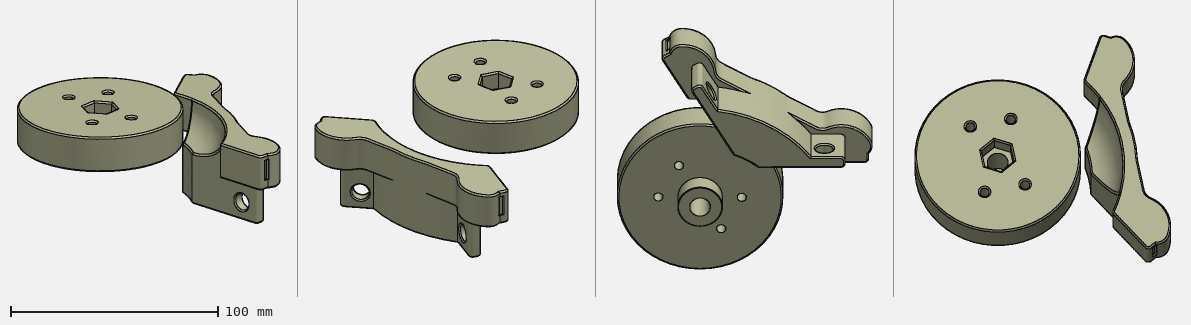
import cadquery as cq
import math

CHAMFER = 0.8

WHEEL_RADIUS = 40.0
WHEEL_TOP = 53.0
WHEEL_THICKNESS = 18.0
BOSS_RADIUS = 10.8
BOSS_LENGTH = 10.0
BOSS_CHAMFER = 0.3
BORE_DIAMETER = 10.0
HEX_ACROSS_FLATS = 14.4
HEX_DEPTH = 9.0
SCREW_HOLE_DIAMETER = 4.4
SCREW_SPACING_X = 35.0
SCREW_SPACING_Y = 19.9

SIDE_ANGLE = math.radians(30)
BRACKET_TOP = 41.0
CORNER_RADIUS = 2.1

FRONT_OFFSET = 35.0
FRONT_HOLLOW_RADIUS = 45.0
BASE_BACK_RADIUS = 67.6
FLANGE_THICKNESS = 6.0
FLANGE_REACH = 70.0
MOUNT_HOLE_DIAMETER = 8.5
MOUNT_HOLE_CHAMFER = 0.7
MOUNT_HOLE_REACH = 60.0
MOUNT_HOLE_HEIGHT = 9.0

ARM_BOTTOM = 23.2
ARM_FRONT_OFFSET = 25.0
ARM_REACH = 81.4
ARM_BACK = 66.8
LOBE_X = 44.2
LOBE_RADIUS = 16.0
LOBE_BLEND_RADIUS = 6.0
LOBE_SIDE = 55.6
OVERALL_DEPTH = 115.9
LOBE_Y = OVERALL_DEPTH - WHEEL_RADIUS - LOBE_RADIUS

CLEARANCE_RADIUS = 60.5
BOWL_RADIUS = CLEARANCE_RADIUS - FRONT_HOLLOW_RADIUS
BOWL_CENTER_HEIGHT = BRACKET_TOP + CHAMFER

RECESS_DEPTH = 0.8
RECESS_BACK = 67.2
RECESS_FRONT = 64.9
RECESS_BOTTOM = 27.9
RECESS_TOP = 38.2


def left_point(reach, offset):
    """Plan point on the left side of the bracket."""
    x = -reach * math.cos(SIDE_ANGLE) + offset * math.sin(SIDE_ANGLE)
    y = reach * math.sin(SIDE_ANGLE) + offset * math.cos(SIDE_ANGLE)
    return (x, y)


def clearance_point(offset):
    """Where the clearance circle crosses a line of the left side."""
    return left_point(math.sqrt(CLEARANCE_RADIUS**2 - offset**2), offset)


KNEE = clearance_point(ARM_FRONT_OFFSET)
ROOT = clearance_point(FRONT_OFFSET)
ARM_TIP = left_point(ARM_REACH, ARM_FRONT_OFFSET)


def polar(center, radius, toward):
    """Point at a radius from a center, in the direction of another point."""
    length = math.dist(center, toward)
    return tuple(c + radius * (t - c) / length for c, t in zip(center, toward))


def arc_middle(center, start, end):
    """Middle of the short arc about a center."""
    chord_middle = ((start[0] + end[0]) / 2, (start[1] + end[1]) / 2)
    return polar(center, math.dist(center, start), chord_middle)


def both_sides(left_half):
    return left_half.union(left_half.mirror("YZ"))


def round_upright_edge(body, point, height):
    """Round the upright edge that passes nearest to a plan point at a height."""
    return body.edges("|Z").edges(cq.NearestToPointSelector((*point, height))).fillet(CORNER_RADIUS)


def chamfer_cutter(outline):
    """45 degree taper going down from an outline, as deep as the edge break."""
    return outline.extrude(-CHAMFER, taper=45)


def make_wheel():
    disc_bottom = WHEEL_TOP - WHEEL_THICKNESS
    disc_base = cq.Workplane("XY", origin=(0, 0, disc_bottom))
    disc = disc_base.circle(WHEEL_RADIUS).extrude(WHEEL_THICKNESS).faces("<Z or >Z").chamfer(CHAMFER)
    boss = disc_base.circle(BOSS_RADIUS).extrude(-BOSS_LENGTH).faces("<Z").chamfer(BOSS_CHAMFER)
    wheel = disc.union(boss)

    top = cq.Workplane("XY", origin=(0, 0, WHEEL_TOP))
    socket = top.transformed(rotate=(0, 0, 30))
    wheel = wheel.cut(top.circle(BORE_DIAMETER / 2).extrude(-WHEEL_THICKNESS - BOSS_LENGTH))
    wheel = wheel.cut(socket.polygon(6, HEX_ACROSS_FLATS, circumscribed=True).extrude(-HEX_DEPTH))
    socket_rim = socket.polygon(6, HEX_ACROSS_FLATS + 2 * CHAMFER, circumscribed=True)
    wheel = wheel.cut(chamfer_cutter(socket_rim))

    screws = top.rarray(SCREW_SPACING_X, SCREW_SPACING_Y, 2, 2)
    wheel = wheel.cut(screws.circle(SCREW_HOLE_DIAMETER / 2).extrude(-WHEEL_THICKNESS))
    return wheel.cut(chamfer_cutter(screws.circle(SCREW_HOLE_DIAMETER / 2 + CHAMFER)))


def make_flange():
    back_offset = FRONT_OFFSET + FLANGE_THICKNESS
    front_end = left_point(FLANGE_REACH, FRONT_OFFSET)
    back_end = left_point(FLANGE_REACH, back_offset)
    flange = (
        cq.Workplane("XY")
        .polyline([left_point(0, FRONT_OFFSET), front_end, back_end, left_point(0, back_offset)])
        .close()
        .extrude(BRACKET_TOP)
    )
    for corner in (front_end, back_end):
        flange = round_upright_edge(flange, corner, BRACKET_TOP / 2)
    return flange


def make_block():
    """Middle of the base: two slanted fronts closed by a round back."""
    back_reach = math.sqrt(BASE_BACK_RADIUS**2 - FRONT_OFFSET**2)
    left_x, left_y = left_point(back_reach, FRONT_OFFSET)
    block = (
        cq.Workplane("XY")
        .moveTo(0, FRONT_OFFSET / math.cos(SIDE_ANGLE))
        .lineTo(left_x, left_y)
        .threePointArc((0, BASE_BACK_RADIUS), (-left_x, left_y))
        .close()
        .extrude(BRACKET_TOP)
    )
    return block.edges(">Z and >Y").chamfer(CHAMFER)


def bowl_cutter():
    """Quarter-round ring about the Z axis, solid inside."""
    bowl_bottom = BOWL_CENTER_HEIGHT - BOWL_RADIUS
    return (
        cq.Workplane("YZ")
        .moveTo(FRONT_HOLLOW_RADIUS, bowl_bottom)
        .radiusArc((CLEARANCE_RADIUS, BOWL_CENTER_HEIGHT), -BOWL_RADIUS)
        .lineTo(0, BOWL_CENTER_HEIGHT)
        .lineTo(0, bowl_bottom)
        .close()
        .revolve(360, (0, 0, 0), (0, 1, 0))
    )


def make_base():
    hollow = cq.Workplane("XY").circle(FRONT_HOLLOW_RADIUS).extrude(BRACKET_TOP)
    base = make_block().union(both_sides(make_flange())).cut(hollow).cut(bowl_cutter())
    base = base.faces("%TORUS").edges("not >Z").chamfer(CHAMFER)
    return base.faces("<Z").chamfer(CHAMFER)


def arm_outline():
    """Plan of the left arm, closed along the YZ plane inside the base."""
    lobe_center = (-LOBE_X, LOBE_Y)

    inner_y = ARM_BACK + LOBE_BLEND_RADIUS
    inner_span = math.sqrt((LOBE_RADIUS + LOBE_BLEND_RADIUS) ** 2 - (inner_y - LOBE_Y) ** 2)
    inner_center = (inner_span - LOBE_X, inner_y)
    inner_start = (inner_center[0], ARM_BACK)
    inner_end = polar(lobe_center, LOBE_RADIUS, inner_center)

    outer_x = LOBE_BLEND_RADIUS - LOBE_SIDE
    outer_rise = math.sqrt((LOBE_RADIUS - LOBE_BLEND_RADIUS) ** 2 - (outer_x + LOBE_X) ** 2)
    outer_center = (outer_x, LOBE_Y + outer_rise)
    outer_start = polar(lobe_center, LOBE_RADIUS, outer_center)
    center_reach = -outer_center[0] * math.cos(SIDE_ANGLE) + outer_center[1] * math.sin(SIDE_ANGLE)
    center_offset = outer_center[0] * math.sin(SIDE_ANGLE) + outer_center[1] * math.cos(SIDE_ANGLE)
    half_chord = math.sqrt(LOBE_BLEND_RADIUS**2 - (ARM_REACH - center_reach) ** 2)
    outer_end = left_point(ARM_REACH, center_offset - half_chord)

    joint_radius = (CLEARANCE_RADIUS + ARM_BACK) / 2
    joint_start = polar((0, 0), joint_radius, ROOT)
    joint_end = (0, joint_radius)
    return (
        cq.Workplane("XY", origin=(0, 0, ARM_BOTTOM))
        .moveTo(0, ARM_BACK)
        .lineTo(*inner_start)
        .threePointArc(arc_middle(inner_center, inner_start, inner_end), inner_end)
        .threePointArc((-LOBE_X, LOBE_Y + LOBE_RADIUS), outer_start)
        .threePointArc(arc_middle(outer_center, outer_start, outer_end), outer_end)
        .lineTo(*ARM_TIP)
        .lineTo(*KNEE)
        .threePointArc(arc_middle((0, 0), KNEE, ROOT), ROOT)
        .lineTo(*joint_start)
        .threePointArc(arc_middle((0, 0), joint_start, joint_end), joint_end)
        .close()
    )


def arm_recess(arm):
    """Pocket in the arm end, its floor parallel to the end surface."""
    shift = (RECESS_DEPTH * math.cos(SIDE_ANGLE), -RECESS_DEPTH * math.sin(SIDE_ANGLE), 0)
    width = RECESS_BACK - RECESS_FRONT
    middle = (ARM_TIP[0], (RECESS_BACK + RECESS_FRONT) / 2, RECESS_BOTTOM)
    window = cq.Workplane("XY", origin=middle).rect(LOBE_RADIUS, width).extrude(RECESS_TOP - RECESS_BOTTOM)
    return window.cut(arm.translate(shift))


def break_outer_edges(arm, face):
    """Chamfer the outside of one arm face; the inner face and the joint stay plain."""
    outer_edges = [edge for edge in arm.faces(face).edges().vals() if is_outer(edge)]
    return arm.newObject(outer_edges).chamfer(CHAMFER)


def is_outer(edge):
    """Whether an edge of the arm plan is on the back or lies outward of the knee."""
    middle = edge.positionAt(0.5)
    on_back = middle.y > ARM_BACK - CHAMFER
    return on_back or middle.x < KNEE[0]


def make_arm():
    middle_height = (BRACKET_TOP + ARM_BOTTOM) / 2
    arm = arm_outline().extrude(BRACKET_TOP - ARM_BOTTOM)
    recess = arm_recess(arm)
    arm = round_upright_edge(arm, ARM_TIP, middle_height)
    arm = break_outer_edges(arm, "<Z")
    arm = round_upright_edge(arm, KNEE, middle_height)
    arm = break_outer_edges(arm, ">Z")
    return arm.cut(recess)


def mount_hole():
    """Hole through the left flange, chamfered at both faces."""
    normal = (math.sin(SIDE_ANGLE), math.cos(SIDE_ANGLE), 0)
    radius = MOUNT_HOLE_DIAMETER / 2
    x, y = left_point(MOUNT_HOLE_REACH, FRONT_OFFSET)
    front = cq.Workplane(cq.Plane(origin=(x, y, MOUNT_HOLE_HEIGHT), xDir=(0, 0, 1), normal=normal))
    hole = front.circle(radius).extrude(FLANGE_THICKNESS)
    rim = radius + MOUNT_HOLE_CHAMFER
    front_rim = front.circle(rim).extrude(MOUNT_HOLE_CHAMFER, taper=45)
    back_rim = front.workplane(offset=FLANGE_THICKNESS).circle(rim).extrude(-MOUNT_HOLE_CHAMFER, taper=45)
    return hole.union(front_rim).union(back_rim)


def make_bracket():
    bracket = make_base().union(both_sides(make_arm()))
    top = cq.Workplane("XY", origin=(0, 0, BRACKET_TOP))
    bracket = bracket.cut(chamfer_cutter(top.circle(CLEARANCE_RADIUS + CHAMFER)))
    left_hole = mount_hole()
    return bracket.cut(left_hole).cut(left_hole.mirror("YZ"))


wheel = make_wheel()
bracket = make_bracket()
result = cq.Compound.makeCompound([wheel.val(), bracket.val()])